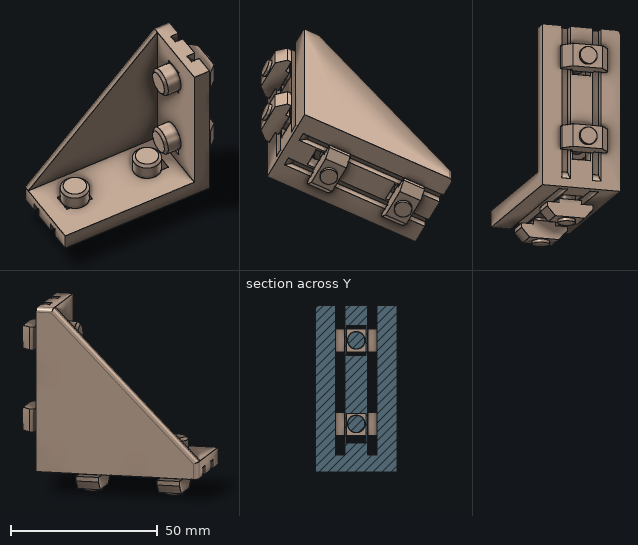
import cadquery as cq

WIDTH = 28.0
LEG_LENGTH = 57.0
LEG_THICKNESS = 6.0
GUSSET_THICKNESS = 3.0
GUSSET_EDGE_RADIUS = 1.5

GROOVE_WIDTH = 3.0
GROOVE_DEPTH = 3.0
GROOVE_OFFSET = 5.5
GROOVE_END = 3.0

SLOT_WIDTH = 6.6
SLOT_LENGTH = 10.0
SLOT_POSITIONS = (15.0, 45.0)

FASTENER_POSITIONS = (16.5, 45.0)
HEAD_DIAMETER = 10.0
HEAD_HEIGHT = 6.0
HEAD_CHAMFER = 1.0
SHANK_DIAMETER = 6.0
SHANK_PROTRUSION = 8.0

NUT_LENGTH = 8.0
NUT_NECK_WIDTH = 8.0
NUT_WING_WIDTH = 16.4
NUT_BASE_WIDTH = 10.6
NUT_TOP_DEPTH = 0.7
NUT_SHOULDER_DEPTH = 2.1
NUT_TAPER_DEPTH = 3.7
NUT_BASE_DEPTH = 6.9

LEFT_FACE = -WIDTH / 2


def extrude_side_profile(points, x_start, thickness):
    """Extrude a (Y, Z) outline along +X from x_start."""
    return cq.Workplane("YZ", origin=(x_start, 0, 0)).polyline(points).close().extrude(thickness)


def to_wall_leg(floor_shape):
    """Mirror a shape across the corner's 45 degree plane, so (Y, Z) becomes (-Z, -Y)."""
    return floor_shape.rotate((0, 0, 0), (1, 0, 0), -90).mirror("XZ")


def make_gusset():
    outline = [
        (0, 0),
        (0, LEG_LENGTH),
        (-LEG_THICKNESS, LEG_LENGTH),
        (-LEG_LENGTH, LEG_THICKNESS),
        (-LEG_LENGTH, 0),
    ]
    return extrude_side_profile(outline, LEFT_FACE, GUSSET_THICKNESS)


def make_legs():
    outline = [
        (0, 0),
        (0, LEG_LENGTH),
        (-LEG_THICKNESS, LEG_LENGTH),
        (-LEG_THICKNESS, LEG_THICKNESS),
        (-LEG_LENGTH, LEG_THICKNESS),
        (-LEG_LENGTH, 0),
    ]
    return extrude_side_profile(outline, LEFT_FACE, WIDTH)


def round_gusset_edges(bracket):
    """Round the left face's edges along the leg ends and the slope."""
    left_edges = bracket.faces("<X").edges("not(>Y or <Z)")
    return left_edges.fillet(GUSSET_EDGE_RADIUS)


def make_floor_groove(x_centre):
    """Groove open at the free end of the leg, closed by a 45 degree ramp near the corner."""
    outline = [
        (-LEG_LENGTH, 0),
        (-GROOVE_END, 0),
        (-GROOVE_END - GROOVE_DEPTH, GROOVE_DEPTH),
        (-LEG_LENGTH, GROOVE_DEPTH),
    ]
    return extrude_side_profile(outline, x_centre - GROOVE_WIDTH / 2, GROOVE_WIDTH)


def make_floor_slot(position):
    slot = cq.Workplane("XY").box(SLOT_WIDTH, SLOT_LENGTH, LEG_THICKNESS, centered=(True, True, False))
    return slot.translate((0, -position, 0))


def make_nut():
    right_side = [
        (NUT_NECK_WIDTH / 2, -NUT_TOP_DEPTH),
        (NUT_NECK_WIDTH / 2, -NUT_SHOULDER_DEPTH),
        (NUT_WING_WIDTH / 2, -NUT_SHOULDER_DEPTH),
        (NUT_WING_WIDTH / 2, -NUT_TAPER_DEPTH),
        (NUT_BASE_WIDTH / 2, -NUT_BASE_DEPTH),
    ]
    left_side = [(-x, z) for x, z in reversed(right_side)]
    outline = cq.Workplane("XZ").polyline(right_side + left_side).close()
    return outline.extrude(NUT_LENGTH / 2, both=True)


def make_floor_fastener(position):
    """Bolt through the floor leg with its T-nut below."""
    head = (
        cq.Workplane("XY", origin=(0, 0, LEG_THICKNESS))
        .circle(HEAD_DIAMETER / 2)
        .extrude(HEAD_HEIGHT)
        .faces(">Z")
        .chamfer(HEAD_CHAMFER)
    )
    shank = (
        cq.Workplane("XY", origin=(0, 0, -SHANK_PROTRUSION))
        .circle(SHANK_DIAMETER / 2)
        .extrude(SHANK_PROTRUSION + LEG_THICKNESS)
    )
    return head.union(shank).union(make_nut()).translate((0, -position, 0))


result = round_gusset_edges(make_legs().union(make_gusset()))

for groove_x in (-GROOVE_OFFSET, GROOVE_OFFSET):
    groove = make_floor_groove(groove_x)
    result = result.cut(groove).cut(to_wall_leg(groove))

for position in SLOT_POSITIONS:
    slot = make_floor_slot(position)
    result = result.cut(slot).cut(to_wall_leg(slot))

for position in FASTENER_POSITIONS:
    fastener = make_floor_fastener(position)
    result = result.union(fastener).union(to_wall_leg(fastener))